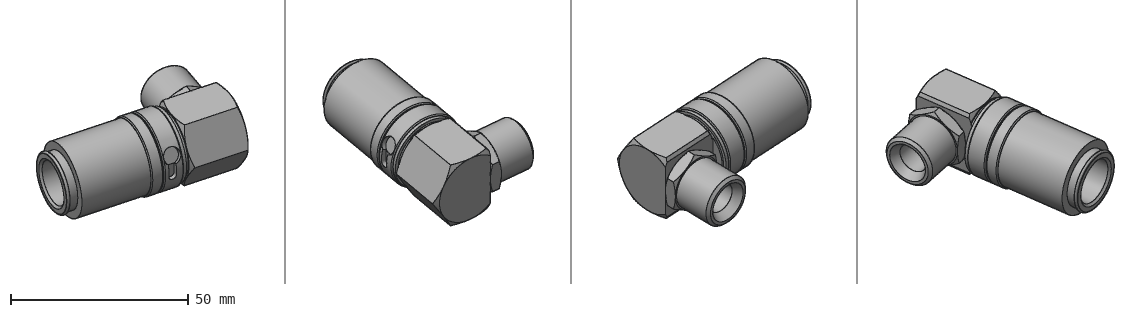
import cadquery as cq
import math


HEX_SIDES = 6

BODY_FLATS = 22.0
BODY_END = 8.5
BODY_START = -10.4
BODY_SIDE = -7.0
SIDE_CUT_END = -10.9
BEVEL_ANGLE = 30.0

COLLAR_FLATS = 17.0
COLLAR_END = -10.9
STUB_END = -23.3
STUB_RADIUS = 8.0
STUB_CHAMFER = 0.9
CONE_RADIUS = 6.15
CONE_HALF_ANGLE = 30.0
PASSAGE_RADIUS = 4.55

NECK_RADIUS = 10.5
SHANK_RADIUS = 11.5
BAND_RADIUS = 12.0
BAND_BEVEL = 0.35
SHOULDER_Y = -11.45
FIRST_BAND = (-12.5, -18.75)
SECOND_BAND = (-19.0, -22.85)
SHANK_END = -44.85
TIP_RADIUS = 9.0
TIP_END = -48.5
BEAD_RADIUS = 0.5
BEAD_Y = -47.85
SOCKET_BORE_RADIUS = 6.8
SOCKET_MOUTH_RADIUS = 7.5
SOCKET_BORE_END = SHOULDER_Y

RECESS_DIAMETER = 5.35
RECESS_Y = -15.65
RECESS_ANGLE = 26.0
RECESS_FLOOR = 10.4
CHANNEL_WIDTH = 2.4
CHANNEL_Y = -16.1
CHANNEL_FLOOR = 10.45
CHANNEL_END = -2.2


def corner_radius(flats):
    """Distance from the axis to a corner of a hexagon."""
    return flats / 2 / math.cos(math.radians(180 / HEX_SIDES))


def turned(points, plane, axis_end):
    """Revolve a closed outline about a line through the origin."""
    return cq.Workplane(plane).polyline(points).close().revolve(360, (0, 0, 0), axis_end)


def hex_bevel(flats):
    """Axial length of the bevel that runs from a corner down to the flats."""
    return (corner_radius(flats) - flats / 2) * math.tan(math.radians(BEVEL_ANGLE))


def bevelled_hexagon(flats, length):
    """Hexagonal bar along local Z with turned bevels on both ends and corners on local X."""
    corner = corner_radius(flats)
    bevel = hex_bevel(flats)
    bar = cq.Workplane("XY").polygon(HEX_SIDES, 2 * corner).extrude(length)
    envelope = turned(
        [
            (0, 0),
            (flats / 2, 0),
            (corner, bevel),
            (corner, length - bevel),
            (flats / 2, length),
            (0, length),
        ],
        "XZ",
        (0, 1, 0),
    )
    return bar.intersect(envelope)


def elbow_body():
    """Hexagonal body with one corner towards +X."""
    length = BODY_END - BODY_START
    bar = bevelled_hexagon(BODY_FLATS, length).rotate((0, 0, 0), (1, 0, 0), 90)
    return bar.translate((0, BODY_END, 0))


def side_cut():
    """Block that flattens the body and the neck on the stub side."""
    size = 2 * BODY_FLATS
    length = size - SIDE_CUT_END
    block = cq.Workplane("XY").box(size, length, size, centered=(True, False, True))
    return block.translate((BODY_SIDE - size / 2, SIDE_CUT_END, 0))


def collar():
    """Hexagonal collar along X with corners towards +Z and -Z."""
    length = BODY_SIDE - COLLAR_END
    bar = bevelled_hexagon(COLLAR_FLATS, length).rotate((0, 0, 0), (0, 1, 0), -90)
    return bar.translate((BODY_SIDE, 0, 0))


def stub():
    """Round stub with a chamfered end, running through the collar to the body."""
    rod = cq.Workplane("YZ", origin=(STUB_END, 0, 0)).circle(STUB_RADIUS).extrude(BODY_SIDE - STUB_END)
    return rod.faces("<X").chamfer(STUB_CHAMFER)


def band(ends):
    """Raised ring with bevelled rims."""
    start, end = ends
    ring = cq.Workplane("XZ", origin=(0, start, 0)).circle(BAND_RADIUS).extrude(start - end)
    return ring.edges().chamfer(BAND_BEVEL)


def socket():
    """Stepped socket with two raised bands and a rounded bead on its tip."""
    profile = [
        (0, BODY_START),
        (NECK_RADIUS, BODY_START),
        (NECK_RADIUS, SHOULDER_Y),
        (SHANK_RADIUS, SHOULDER_Y),
        (SHANK_RADIUS, SHANK_END),
        (TIP_RADIUS, SHANK_END),
        (TIP_RADIUS, TIP_END),
        (0, TIP_END),
    ]
    bead_section = cq.Workplane("XY").center(TIP_RADIUS, BEAD_Y).circle(BEAD_RADIUS)
    bead = bead_section.revolve(360, (-TIP_RADIUS, 0, 0), (-TIP_RADIUS, 1, 0))
    body = turned(profile, "XY", (0, 1, 0)).union(bead)
    return body.union(band(FIRST_BAND)).union(band(SECOND_BAND))


def socket_bore():
    """Blind socket bore with a flared mouth, and the narrower passage to the stub axis."""
    flare = SOCKET_MOUTH_RADIUS - SOCKET_BORE_RADIUS
    return turned(
        [
            (0, TIP_END),
            (SOCKET_MOUTH_RADIUS, TIP_END),
            (SOCKET_BORE_RADIUS, TIP_END + flare),
            (SOCKET_BORE_RADIUS, SOCKET_BORE_END),
            (PASSAGE_RADIUS, SOCKET_BORE_END),
            (PASSAGE_RADIUS, PASSAGE_RADIUS),
            (0, PASSAGE_RADIUS),
        ],
        "XY",
        (0, 1, 0),
    )


def stub_bore():
    """Tapered seat in the stub end, leading into a passage to the socket axis."""
    cone_length = (CONE_RADIUS - PASSAGE_RADIUS) / math.tan(math.radians(CONE_HALF_ANGLE))
    return turned(
        [
            (STUB_END, 0),
            (STUB_END, CONE_RADIUS),
            (STUB_END + cone_length, PASSAGE_RADIUS),
            (0, PASSAGE_RADIUS),
            (0, 0),
        ],
        "XY",
        (1, 0, 0),
    )


def recess():
    """Round blind recess pointing at the socket axis."""
    start = cq.Workplane("YZ", origin=(RECESS_FLOOR, RECESS_Y, 0))
    drill = start.circle(RECESS_DIAMETER / 2).extrude(BAND_RADIUS)
    return drill.rotate((0, 0, 0), (0, 1, 0), -RECESS_ANGLE)


def channel():
    """Round-ended channel that leads from the recess down past the XY plane."""
    recess_center_z = RECESS_FLOOR * math.sin(math.radians(RECESS_ANGLE))
    length = recess_center_z - CHANNEL_END
    middle_z = (recess_center_z + CHANNEL_END) / 2
    start = cq.Workplane("YZ", origin=(CHANNEL_FLOOR, CHANNEL_Y, middle_z))
    return start.slot2D(length, CHANNEL_WIDTH, 90).extrude(BAND_RADIUS - CHANNEL_FLOOR)


result = elbow_body().union(socket()).cut(side_cut())
result = result.union(collar()).union(stub())
result = result.cut(socket_bore()).cut(stub_bore()).cut(recess()).cut(channel())